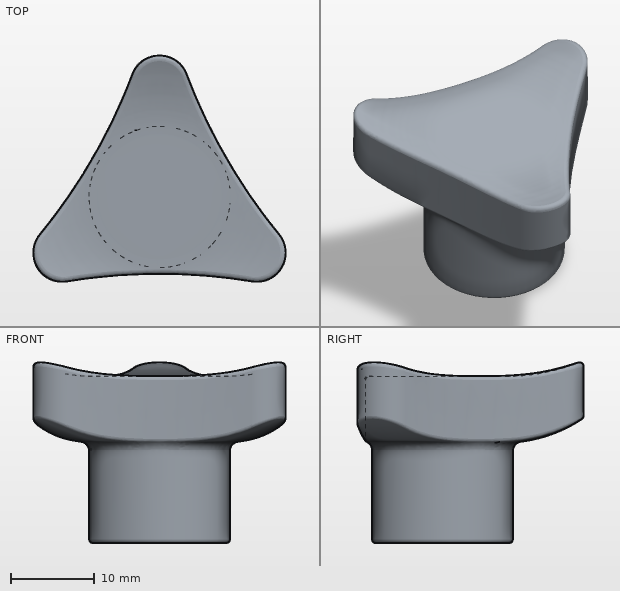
import cadquery as cq
import math

LOBE_COUNT = 3
TIP_REACH = 17.0
LOBE_RADIUS = 3.5
SIDE_RADIUS = 68.0

FLAT_RADIUS = 15.1 / 2
FLAT_HEIGHT = 20.08
DISH_RADIUS = 24.0
TOP_EDGE_RADIUS = 0.5

UNDERSIDE_HEIGHT = 12.05
UNDERSIDE_FLAT_RADIUS = 7.3
UNDERSIDE_ARC_RADIUS = 17.0
BOTTOM_EDGE_RADIUS = 0.4

BOSS_RADIUS = 17.0 / 2
BOSS_FILLET = 1.0
BOSS_END_RADIUS = 0.5

GRIP_CLEARANCE = 1.0


def polar(radius, angle):
    """Point at the given distance and angle (degrees) from the Z axis."""
    return (radius * math.cos(math.radians(angle)), radius * math.sin(math.radians(angle)))


def arc_rise(run, radius):
    """Height gained by an arc, level at its start, over a horizontal run."""
    return radius - math.sqrt(radius**2 - run**2)


def make_outline():
    """Lobe tips and concave sides joined tangentially, extruded past the grip."""
    lobe_reach = TIP_REACH - LOBE_RADIUS
    sector = 360 / LOBE_COUNT
    half_sector = sector / 2
    half_span = lobe_reach * math.sin(math.radians(half_sector))
    centre_gap = SIDE_RADIUS + LOBE_RADIUS
    side_centre_reach = lobe_reach * math.cos(math.radians(half_sector)) + math.sqrt(
        centre_gap**2 - half_span**2
    )
    side_reach = side_centre_reach - SIDE_RADIUS
    lobe_share = LOBE_RADIUS / centre_gap

    def tangent_point(lobe_angle, side_angle):
        lobe = polar(lobe_reach, lobe_angle)
        side = polar(side_centre_reach, side_angle)
        return tuple(a + (b - a) * lobe_share for a, b in zip(lobe, side))

    first_lobe = 90
    outline = cq.Workplane("XY").moveTo(*tangent_point(first_lobe, first_lobe - half_sector))
    for index in range(LOBE_COUNT):
        lobe = first_lobe + index * sector
        side = lobe + half_sector
        outline = outline.threePointArc(polar(TIP_REACH, lobe), tangent_point(lobe, side))
        outline = outline.threePointArc(polar(side_reach, side), tangent_point(lobe + sector, side))
    return outline.close().extrude(2 * FLAT_HEIGHT)


def make_blank():
    """Turned blank bounded by the top dish and the curved underside."""
    rim = TIP_REACH + GRIP_CLEARANCE
    dish_run = rim - FLAT_RADIUS
    under_run = rim - UNDERSIDE_FLAT_RADIUS

    def dish_point(run):
        return (FLAT_RADIUS + run, FLAT_HEIGHT + arc_rise(run, DISH_RADIUS))

    def under_point(run):
        return (UNDERSIDE_FLAT_RADIUS + run, UNDERSIDE_HEIGHT + arc_rise(run, UNDERSIDE_ARC_RADIUS))

    return (
        cq.Workplane("XZ")
        .moveTo(0, UNDERSIDE_HEIGHT)
        .lineTo(*under_point(0))
        .threePointArc(under_point(under_run / 2), under_point(under_run))
        .lineTo(*dish_point(dish_run))
        .threePointArc(dish_point(dish_run / 2), dish_point(0))
        .lineTo(0, FLAT_HEIGHT)
        .close()
        .revolve(360, (0, 0, 0), (0, 1, 0))
    )


def rim_edges(grip, upper):
    """Edges where the lobed wall meets the dish (upper) or the underside.

    These are the only free-form edges: the blank's own edges are circles and the wall's are lines.
    """
    middle = (FLAT_HEIGHT + UNDERSIDE_HEIGHT) / 2
    rim = [e for e in grip.edges("%BSPLINE").vals() if (e.Center().z > middle) == upper]
    return grip.newObject(rim)


def make_grip():
    """Lobed grip with rounded upper and lower rims."""
    grip = make_outline().intersect(make_blank())
    grip = rim_edges(grip, upper=True).fillet(TOP_EDGE_RADIUS)
    return rim_edges(grip, upper=False).fillet(BOTTOM_EDGE_RADIUS)


def make_boss():
    """Cylinder with a rounded lower end, its top buried in the grip."""
    length = (UNDERSIDE_HEIGHT + FLAT_HEIGHT) / 2
    boss = cq.Workplane("XY").circle(BOSS_RADIUS).extrude(length)
    return boss.faces("<Z").edges().fillet(BOSS_END_RADIUS)


def join_boss(grip, boss):
    """Union of grip and boss with a concave fillet around the joint."""
    joined = grip.union(boss)
    reach = BOSS_RADIUS + BOSS_FILLET / 2
    joint_box = cq.selectors.BoxSelector(
        (-reach, -reach, UNDERSIDE_HEIGHT - BOSS_FILLET),
        (reach, reach, UNDERSIDE_HEIGHT + BOSS_FILLET),
        boundingbox=True,
    )
    return joined.edges(joint_box).fillet(BOSS_FILLET)


result = join_boss(make_grip(), make_boss())